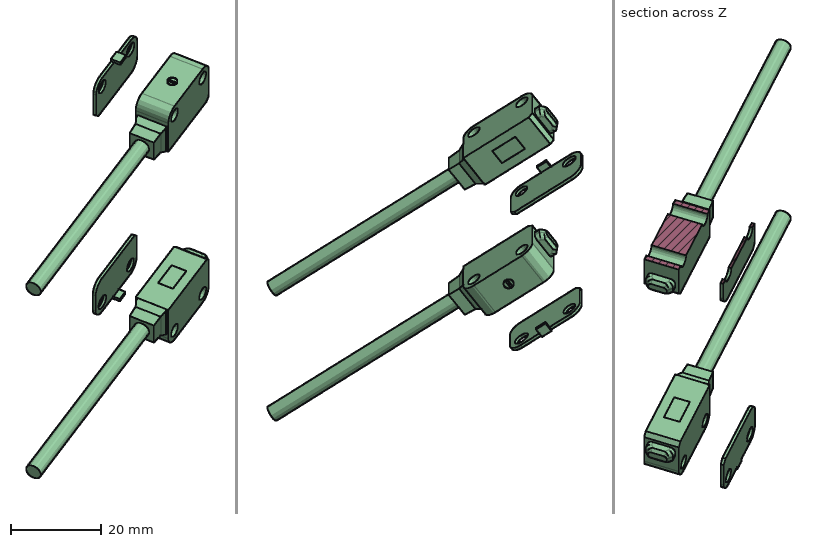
import cadquery as cq


OVERALL_X = 19.0
OVERALL_Y = 75.9
OVERALL_Z = 76.0

HOLE_SPACING = 13.0
HOLE_DIAMETER = 3.1
CORNER_RADIUS = 2.9

HOUSING_WIDTH = 8.3
HOUSING_LENGTH = HOLE_SPACING + 2 * CORNER_RADIUS
HOUSING_HEIGHT = 12.0
HOUSING_CHAMFER = 1.0
CABLE_AXIS_HEIGHT = 3.95
LENS_AXIS_HEIGHT = 3.5

LENS_WIDTH = 6.5
LENS_HEIGHT = 3.4
LENS_LENGTH = 2.35
LENS_EDGE_RADIUS = 1.2
LENS_SIDE_BEVEL = 1.1
LENS_TOP_BEVEL = 0.75

GLAND_START_WIDTH = 7.4
GLAND_START_HEIGHT = 7.8
FLARE_END_WIDTH = 6.4
FLARE_END_HEIGHT = 6.0
BOSS_END_WIDTH = 6.15
BOSS_END_HEIGHT = 5.5
SIDE_FLARE_START = 0.45
FLARE_LENGTH = 1.8
BOSS_LENGTH = 2.9
CABLE_DIAMETER = 3.7

SCREW_DIAMETER = 2.3
SCREW_DEPTH = 0.2
SCREW_SLOT_WIDTH = 0.5
SCREW_SLOT_DEPTH = 0.3
LABEL_WIDTH = 3.7
LABEL_LENGTH = 6.2
LABEL_DEPTH = 0.1

PLATE_THICKNESS = 0.75
PLATE_LENGTH = 19.0
PLATE_HEIGHT = 10.65
PLATE_SHIFT = 0.115
PLATE_CHAMFER = 1.1
SLOT_LENGTH = 3.5
TAB_LENGTH = 2.35
TAB_WIDTH = 2.6

HOUSING_TOP = OVERALL_Z / 2 - PLATE_THICKNESS
HOUSING_BASE = HOUSING_TOP - HOUSING_HEIGHT
SENSOR_X = OVERALL_X - HOUSING_WIDTH / 2
HOLE_Z = HOUSING_TOP - CORNER_RADIUS
FRONT_Y = HOUSING_LENGTH / 2
REAR_Y = -HOUSING_LENGTH / 2
CABLE_Z = HOUSING_BASE + CABLE_AXIS_HEIGHT
LENS_Z = HOUSING_BASE + LENS_AXIS_HEIGHT
GLAND_LENGTH = FLARE_LENGTH + BOSS_LENGTH
CABLE_LENGTH = OVERALL_Y - LENS_LENGTH - HOUSING_LENGTH - GLAND_LENGTH


def make_housing():
    """Block with two rounded top corners, one chamfered base corner and two through holes."""
    block = (
        cq.Workplane("XY", origin=(SENSOR_X, 0, HOUSING_BASE))
        .box(HOUSING_WIDTH, HOUSING_LENGTH, HOUSING_HEIGHT, centered=(True, True, False))
        .edges("|X and >Z").fillet(CORNER_RADIUS)
        .edges("|X and <Z and >Y").chamfer(HOUSING_CHAMFER)
    )
    holes = (
        cq.Workplane("YZ", origin=(SENSOR_X - HOUSING_WIDTH / 2, 0, HOLE_Z))
        .pushPoints([(-HOLE_SPACING / 2, 0), (HOLE_SPACING / 2, 0)])
        .circle(HOLE_DIAMETER / 2)
        .extrude(HOUSING_WIDTH)
    )
    return block.cut(holes)


def make_lens():
    """Bar with its free end bevelled on all four sides and its lengthwise edges rounded to the tip."""
    bar = cq.Workplane("XY", origin=(SENSOR_X, FRONT_Y, LENS_Z)).box(
        LENS_WIDTH, LENS_LENGTH, LENS_HEIGHT, centered=(True, False, True)
    )
    side_bevelled = bar.edges("|Z and >Y").chamfer(LENS_SIDE_BEVEL)
    top_and_base_bevelled = bar.edges("|X and >Y").chamfer(LENS_TOP_BEVEL)
    return (
        side_bevelled.intersect(top_and_base_bevelled)
        .edges("not(|X or |Z)").fillet(LENS_EDGE_RADIUS)
    )


def make_gland():
    """Rectangular cable entry: where its plan outline and its side outline, both extruded, meet."""
    flare_y = REAR_Y - FLARE_LENGTH
    boss_y = REAR_Y - GLAND_LENGTH
    plan = (
        cq.Workplane("XY", origin=(SENSOR_X, 0, CABLE_Z))
        .moveTo(0, REAR_Y)
        .lineTo(GLAND_START_WIDTH / 2, REAR_Y)
        .lineTo(GLAND_START_WIDTH / 2, REAR_Y - SIDE_FLARE_START)
        .lineTo(FLARE_END_WIDTH / 2, flare_y)
        .lineTo(BOSS_END_WIDTH / 2, boss_y)
        .lineTo(0, boss_y)
        .mirrorY()
        .extrude(GLAND_START_HEIGHT / 2, both=True)
    )
    side = (
        cq.Workplane("YZ", origin=(SENSOR_X, 0, CABLE_Z))
        .moveTo(REAR_Y, 0)
        .lineTo(REAR_Y, GLAND_START_HEIGHT / 2)
        .lineTo(flare_y, FLARE_END_HEIGHT / 2)
        .lineTo(boss_y, BOSS_END_HEIGHT / 2)
        .lineTo(boss_y, 0)
        .mirrorX()
        .extrude(GLAND_START_WIDTH / 2, both=True)
    )
    return plan.intersect(side)


def make_cable():
    return (
        cq.Workplane("XZ", origin=(SENSOR_X, REAR_Y - GLAND_LENGTH, CABLE_Z))
        .circle(CABLE_DIAMETER / 2)
        .extrude(CABLE_LENGTH)
    )


def make_screw_recess():
    """Round recess with a straight slot across its floor."""
    top_plane = cq.Workplane("XY", origin=(SENSOR_X, 0, HOUSING_TOP))
    slot_depth = SCREW_DEPTH + SCREW_SLOT_DEPTH
    recess = top_plane.circle(SCREW_DIAMETER / 2).extrude(-SCREW_DEPTH)
    deep_recess = top_plane.circle(SCREW_DIAMETER / 2).extrude(-slot_depth)
    slot = top_plane.rect(SCREW_DIAMETER, SCREW_SLOT_WIDTH).extrude(-slot_depth)
    return recess.union(slot.intersect(deep_recess))


def make_label_recess():
    return (
        cq.Workplane("XY", origin=(SENSOR_X, 0, HOUSING_BASE))
        .rect(LABEL_WIDTH, LABEL_LENGTH)
        .extrude(LABEL_DEPTH)
    )


def make_sensor():
    """Upper sensor: housing, lens, gland and cable as one solid."""
    return (
        make_housing()
        .union(make_lens())
        .union(make_gland())
        .union(make_cable())
        .cut(make_screw_recess())
        .cut(make_label_recess())
    )


def make_bracket():
    """Upper bracket: plate with a round hole, a slotted hole and a tab bent towards the sensor."""
    plate = (
        cq.Workplane("XY", origin=(0, PLATE_SHIFT, HOUSING_TOP - PLATE_HEIGHT))
        .box(PLATE_THICKNESS, PLATE_LENGTH, PLATE_HEIGHT, centered=(False, True, False))
        .edges("|X and >Z").fillet(CORNER_RADIUS)
        .edges("|X and <Z and >Y").fillet(CORNER_RADIUS)
        .edges("|X and <Z and <Y").chamfer(PLATE_CHAMFER)
    )
    tab = cq.Workplane("XY", origin=(0, PLATE_SHIFT, HOUSING_TOP)).box(
        TAB_LENGTH, TAB_WIDTH, PLATE_THICKNESS, centered=(False, True, False)
    )
    round_hole = (
        cq.Workplane("YZ", origin=(0, -HOLE_SPACING / 2, HOLE_Z))
        .circle(HOLE_DIAMETER / 2)
        .extrude(PLATE_THICKNESS)
    )
    slotted_hole = (
        cq.Workplane("YZ", origin=(0, HOLE_SPACING / 2, HOLE_Z))
        .slot2D(SLOT_LENGTH, HOLE_DIAMETER)
        .extrude(PLATE_THICKNESS)
    )
    return plate.union(tab).cut(round_hole).cut(slotted_hole)


sensors = []
brackets = []
for turn in (0, 180):
    sensors.append(make_sensor().rotate((SENSOR_X, 0, 0), (SENSOR_X, 1, 0), turn))
    brackets.append(make_bracket().rotate((0, 0, 0), (1, 0, 0), turn))

result = cq.Compound.makeCompound([body.val() for body in sensors + brackets])